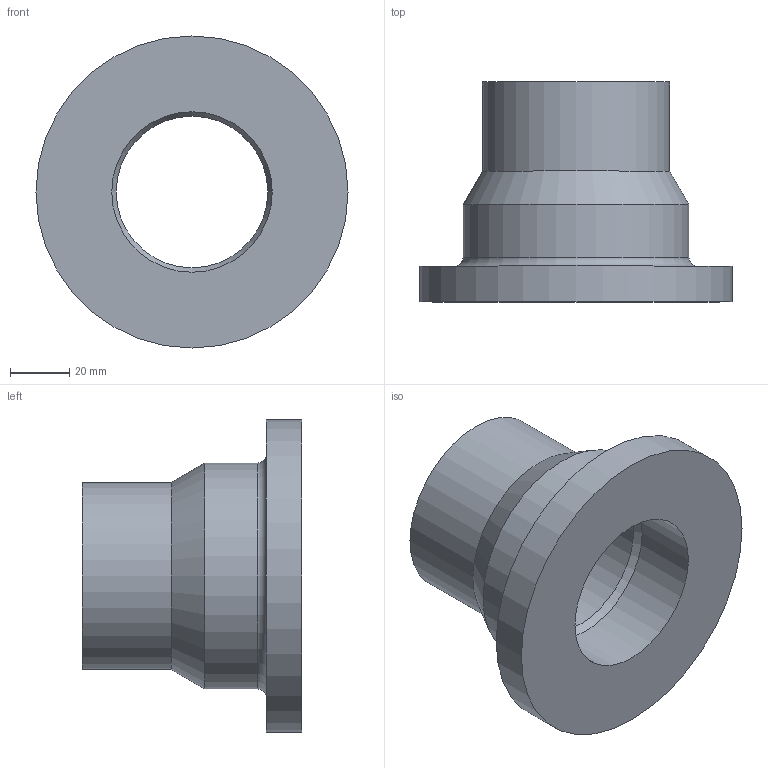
import cadquery as cq
import math

flange_diameter = 105.0
flange_thickness = 12.0
hub_diameter = 76.0
pipe_diameter = 63.0
pipe_length = 30.0
total_length = 74.0
hub_fillet = 3.0
taper_half_angle = 30.0

flange_bore_diameter = 54.0
pipe_bore_diameter = 51.0
bore_cone_start = 22.0

flange_radius = flange_diameter / 2
hub_radius = hub_diameter / 2
pipe_radius = pipe_diameter / 2
flange_bore_radius = flange_bore_diameter / 2
pipe_bore_radius = pipe_bore_diameter / 2


def taper_length(large_radius, small_radius):
    """Axial length of a cone between two radii at the common taper angle."""
    return (large_radius - small_radius) / math.tan(math.radians(taper_half_angle))


def make_body():
    """Solid flange, hub, outer cone and pipe end, revolved about Y."""
    pipe_start = total_length - pipe_length
    hub_end = pipe_start - taper_length(hub_radius, pipe_radius)
    fillet_end = flange_thickness + hub_fillet
    profile = (
        cq.Workplane("XY")
        .moveTo(0, 0)
        .lineTo(flange_radius, 0)
        .lineTo(flange_radius, flange_thickness)
        .lineTo(hub_radius + hub_fillet, flange_thickness)
        .radiusArc((hub_radius, fillet_end), hub_fillet)
        .lineTo(hub_radius, hub_end)
        .lineTo(pipe_radius, pipe_start)
        .lineTo(pipe_radius, total_length)
        .lineTo(0, total_length)
        .close()
    )
    return profile.revolve(360, (0, 0, 0), (0, 1, 0))


def make_bore():
    """Stepped bore with a conical transition, revolved about Y."""
    bore_cone_end = bore_cone_start + taper_length(flange_bore_radius, pipe_bore_radius)
    profile = (
        cq.Workplane("XY")
        .moveTo(0, 0)
        .lineTo(flange_bore_radius, 0)
        .lineTo(flange_bore_radius, bore_cone_start)
        .lineTo(pipe_bore_radius, bore_cone_end)
        .lineTo(pipe_bore_radius, total_length)
        .lineTo(0, total_length)
        .close()
    )
    return profile.revolve(360, (0, 0, 0), (0, 1, 0))


result = make_body().cut(make_bore())